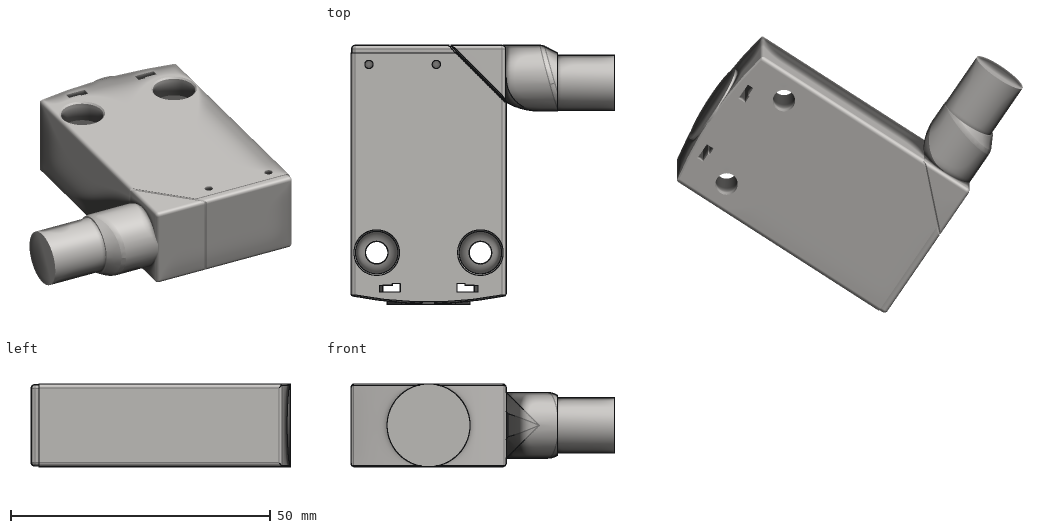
import cadquery as cq
import math

WIDTH = 30.0
LENGTH = 50.0
HEIGHT = 16.0
MID_X = WIDTH / 2
MID_Z = HEIGHT / 2
OVERSIZE = 40.0

HOUSING_BACK = 48.5
EDGE_RADIUS = 0.8
FRONT_APEX_Y = 0.2
FRONT_SIDE_Y = 1.7
FRONT_CORNER_RADIUS = 0.6
FRONT_CHAMFER = 0.3

MOUNT_PITCH = 20.0
MOUNT_Y = 10.0
MOUNT_DIAMETER = 4.3
COUNTERBORE_DIAMETER = 8.2
COUNTERBORE_DEPTH = 4.0
RIM_CHAMFER = 0.3

INDICATOR_X = (3.5, 16.5)
INDICATOR_Y = 46.3
INDICATOR_DIAMETER = 1.6
INDICATOR_DEPTH = 1.0

SLOT_OUTER_X = 5.5
SLOT_STEP_X = 8.0
SLOT_INNER_X = 9.5
SLOT_FRONT_Y = 2.45
SLOT_STEP_Y = 3.7
SLOT_BACK_Y = 4.0
LEDGE_WIDTH = 0.7
LEDGE_TOP_Z = MID_Z
LEDGE_DROP = 0.3

INSET = 0.15
INSET_EDGE_RADIUS = 0.7

JOINT_SUM = 69.15
GROOVE_HALF_WIDTH = 0.28

GLAND_RADIUS = 6.35
GLAND_Y = LENGTH - GLAND_RADIUS
GLAND_START = WIDTH - 0.5
GLAND_END = 39.9
PIPE_RADIUS = 5.35
PIPE_Y = 42.75
PIPE_END = 50.9
PIPE_ROOT = 1.0
TAPER_END_RADIUS = 5.75
TAPER_ANGLE = 27.0
TAPER_LENGTH = 8.0
TAPER_OVERRUN = 2.0
TAPER_EDGE_RADIUS = 2.0

ELBOW_X = WIDTH + GLAND_RADIUS
ELBOW_RADIUS = 2 * GLAND_RADIUS

DISC_RADIUS = HEIGHT / 2
DISC_DEPTH = 1.0


def block(x_min, x_max, y_min, y_max, z_min, z_max):
    """Box given by its limits along each axis."""
    size = (x_max - x_min, y_max - y_min, z_max - z_min)
    return cq.Workplane("XY").box(*size, centered=False).translate((x_min, y_min, z_min))


def rod(x_start, x_end, radius, axis_y):
    """Round rod along X at mid height."""
    plane = cq.Workplane("YZ", origin=(x_start, axis_y, MID_Z))
    return plane.circle(radius).extrude(x_end - x_start)


def connector_side():
    """Everything on the connector's side of the diagonal joint."""
    far = WIDTH + OVERSIZE
    corners = [(JOINT_SUM - far, far), (far, far), (far, JOINT_SUM - far)]
    return cq.Workplane("XY", origin=(0, 0, -OVERSIZE)).polyline(corners).close().extrude(2 * OVERSIZE)


def joint_groove():
    """V-groove along the diagonal joint on the top, bottom and back faces."""
    side = GROOVE_HALF_WIDTH * math.sqrt(2)
    joint_x = JOINT_SUM - LENGTH
    groove = cq.Workplane("XY", origin=(joint_x, LENGTH, 0)).rect(side, side).extrude(HEIGHT)
    for z in (INSET, HEIGHT - INSET):
        plane = cq.Plane(origin=(joint_x, LENGTH, z), xDir=(1, 1, 0), normal=(1, -1, 0))
        bar = cq.Workplane(plane).transformed(rotate=(0, 0, 45)).rect(side, side)
        groove = groove.union(bar.extrude(OVERSIZE, both=True))
    return groove


def mounting_hole(x):
    """Through hole with a counterbore whose rim is chamfered."""
    bore_radius = COUNTERBORE_DIAMETER / 2
    hole = cq.Workplane("XY").circle(MOUNT_DIAMETER / 2).extrude(HEIGHT)
    bore = cq.Workplane("XY").circle(bore_radius).extrude(COUNTERBORE_DEPTH)
    bore = bore.translate((0, 0, HEIGHT - COUNTERBORE_DEPTH))
    rim = cq.Solid.makeCone(
        bore_radius, bore_radius + RIM_CHAMFER, RIM_CHAMFER, pnt=cq.Vector(0, 0, HEIGHT - RIM_CHAMFER)
    )
    return hole.union(bore).union(cq.Workplane(rim)).translate((x, MOUNT_Y, 0))


def clip_slot():
    """Stepped through slot with a sloping ledge at its outer end."""
    outline = [
        (SLOT_OUTER_X, SLOT_FRONT_Y),
        (SLOT_INNER_X, SLOT_FRONT_Y),
        (SLOT_INNER_X, SLOT_BACK_Y),
        (SLOT_STEP_X, SLOT_BACK_Y),
        (SLOT_STEP_X, SLOT_STEP_Y),
        (SLOT_OUTER_X, SLOT_STEP_Y),
    ]
    slot = cq.Workplane("XY").polyline(outline).close().extrude(HEIGHT)
    ledge_x = SLOT_OUTER_X + LEDGE_WIDTH
    ledge_outline = [
        (SLOT_OUTER_X, 0),
        (ledge_x, 0),
        (ledge_x, LEDGE_TOP_Z),
        (SLOT_OUTER_X, LEDGE_TOP_Z - LEDGE_DROP),
    ]
    ledge = cq.Workplane("XZ").polyline(ledge_outline).close().extrude(-LENGTH)
    return slot.cut(ledge)


def make_housing():
    """Block with a bowed front, all its openings and the corner cut off for the connector."""
    body = (
        cq.Workplane("XY")
        .moveTo(0, FRONT_SIDE_Y)
        .threePointArc((MID_X, FRONT_APEX_Y), (WIDTH, FRONT_SIDE_Y))
        .lineTo(WIDTH, HOUSING_BACK)
        .lineTo(0, HOUSING_BACK)
        .close()
        .extrude(HEIGHT)
    )
    body = body.edges("|Z and (not >Y)").fillet(FRONT_CORNER_RADIUS)
    body = body.faces("<Z or >Z").edges("not >Y").chamfer(FRONT_CHAMFER)
    body = body.intersect(block(0, WIDTH, 0, LENGTH, 0, HEIGHT).edges("|Y").fillet(EDGE_RADIUS))
    for side in (-1, 1):
        body = body.cut(mounting_hole(MID_X + side * MOUNT_PITCH / 2))
    for x in INDICATOR_X:
        indicator = cq.Workplane("XY", origin=(x, INDICATOR_Y, HEIGHT - INDICATOR_DEPTH))
        body = body.cut(indicator.circle(INDICATOR_DIAMETER / 2).extrude(INDICATOR_DEPTH))
    left_slot = clip_slot()
    right_slot = left_slot.mirror("YZ", (MID_X, 0, 0))
    body = body.cut(left_slot).cut(right_slot)
    return body.cut(connector_side()).cut(joint_groove())


def inset_back_block():
    """Rounded block, set in from the housing sides, shared by the cover and the swivel wedge."""
    body = block(INSET, WIDTH - INSET, MID_X, LENGTH, INSET, HEIGHT - INSET)
    return body.edges("|Y or >Y").fillet(INSET_EDGE_RADIUS)


def make_cover():
    """Plate closing the back of the housing up to the diagonal joint."""
    front_part = block(-OVERSIZE, OVERSIZE, 0, HOUSING_BACK, -OVERSIZE, OVERSIZE)
    return inset_back_block().cut(front_part).cut(connector_side()).cut(joint_groove())


def gland_blank():
    """Round gland whose end is narrowed by a cone about the pipe axis, with a rounded rim."""
    slope = math.tan(math.radians(TAPER_ANGLE))
    cone = cq.Solid.makeCone(
        TAPER_END_RADIUS + TAPER_LENGTH * slope,
        TAPER_END_RADIUS - TAPER_OVERRUN * slope,
        TAPER_LENGTH + TAPER_OVERRUN,
        pnt=cq.Vector(GLAND_END - TAPER_LENGTH, PIPE_Y, MID_Z),
        dir=cq.Vector(1, 0, 0),
    )
    straight = block(0, GLAND_END - TAPER_LENGTH, 0, 2 * LENGTH, -OVERSIZE, OVERSIZE)
    gland = rod(GLAND_START, GLAND_END + TAPER_OVERRUN, GLAND_RADIUS, GLAND_Y)
    gland = gland.intersect(straight.union(cq.Workplane(cone)))
    gland = gland.edges("%BSPLINE").fillet(TAPER_EDGE_RADIUS)
    return gland.intersect(block(0, GLAND_END, 0, 2 * LENGTH, -OVERSIZE, OVERSIZE))


def elbow_cutters():
    """Tools that round the gland's front side down to the diagonal joint: one bow and two flanks.

    The bow is a round cylinder along Z. Each flank is the 45 degree section of the gland,
    an ellipse, extruded square to that section, so it meets the gland on a mitre line.
    """
    outer = block(0, ELBOW_X, 0, LENGTH, -OVERSIZE, OVERSIZE)
    bow = cq.Workplane("XY", origin=(ELBOW_X, LENGTH, -OVERSIZE)).circle(ELBOW_RADIUS)
    cutters = [outer.cut(bow.extrude(2 * OVERSIZE))]
    for side in (-1, 1):
        z_limits = sorted((MID_Z, MID_Z + side * OVERSIZE))
        front_quarter = block(0, ELBOW_X, 0, GLAND_Y, *z_limits)
        mitre = cq.Plane(origin=(ELBOW_X, GLAND_Y, MID_Z), xDir=(0, 1, 0), normal=(1, 0, side))
        section = cq.Workplane(mitre).ellipse(GLAND_RADIUS, GLAND_RADIUS * math.sqrt(2))
        cutters.append(front_quarter.cut(section.extrude(OVERSIZE, both=True)))
    return cutters


def make_swivel():
    """Corner wedge, gland and pipe of the swivelling connector."""
    gland = gland_blank()
    for cutter in elbow_cutters():
        gland = gland.cut(cutter)
    pipe = rod(GLAND_END - PIPE_ROOT, PIPE_END, PIPE_RADIUS, PIPE_Y)
    wedge = inset_back_block().union(gland).union(pipe)
    return wedge.intersect(connector_side()).cut(joint_groove())


def make_disc(housing):
    """Round sensing face lying on the bowed front of the housing."""
    plane = cq.Workplane("XZ", origin=(MID_X, DISC_DEPTH, MID_Z))
    return plane.circle(DISC_RADIUS).extrude(DISC_DEPTH).cut(housing)


housing = make_housing()
cover = make_cover()
swivel = make_swivel()
disc = make_disc(housing)

result = cq.Compound.makeCompound([housing.val(), cover.val(), swivel.val(), disc.val()])